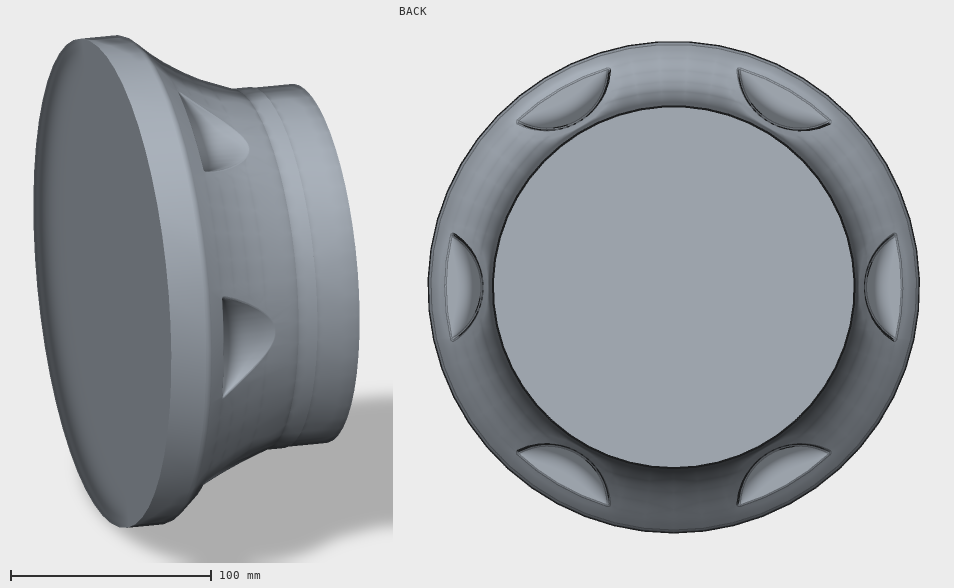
import cadquery as cq

flange_radius = 122.5
flange_edge_y = 18.1
flare_start_y = 21.5
flare_start_radius = 121.0
flare_mid_y = 54.5
flare_mid_radius = 98.5
band_radius = 90.5
band_start_y = 75.5
neck_radius = 90.0
neck_start_y = 85.3
total_depth = 107.3

pocket_count = 6
pocket_radius = 30.6
pocket_centre_distance = 125.7
pocket_floor_y = 30.0
pocket_edge_fillet = 1.0

tolerance = 0.002


def make_body():
    """Solid of revolution: flange, concave flare, band and neck."""
    profile = (
        cq.Workplane("XY")
        .moveTo(0, 0)
        .lineTo(flange_radius, 0)
        .lineTo(flange_radius, flange_edge_y)
        .tangentArcPoint((flare_start_radius, flare_start_y), relative=False)
        .threePointArc((flare_mid_radius, flare_mid_y), (band_radius, band_start_y))
        .lineTo(band_radius, neck_start_y)
        .lineTo(neck_radius, neck_start_y)
        .lineTo(neck_radius, total_depth)
        .lineTo(0, total_depth)
        .close()
    )
    body = profile.revolve(360, (0, 0, 0), (0, 1, 0))
    return body.rotate((0, 0, 0), (0, 1, 0), 90)


def make_pocket_cutter(angle):
    """Cylinder along Y rounded at the pocket floor and turned around the body by an angle."""
    return (
        cq.Workplane("XZ", origin=(pocket_centre_distance, pocket_floor_y, 0))
        .circle(pocket_radius)
        .extrude(pocket_floor_y - total_depth)
        .faces("<Y")
        .edges()
        .fillet(pocket_edge_fillet)
        .rotate((0, 0, 0), (0, 1, 0), angle)
    )


def is_mouth_edge(edge):
    """True for the outer edges of a pocket, where its wall or floor meets the flare."""
    box = edge.BoundingBox()
    within_flare = box.ymin > flare_start_y + tolerance and box.ymax < band_start_y - tolerance
    is_inner_edge = edge.geomType() == "CIRCLE" and edge.radius() < pocket_radius + tolerance
    return within_flare and not is_inner_edge


result = make_body()
for index in range(pocket_count):
    result = result.cut(make_pocket_cutter(index * 360 / pocket_count))
mouth_edges = [edge for edge in result.edges().vals() if is_mouth_edge(edge)]
result = result.newObject(mouth_edges).fillet(pocket_edge_fillet)